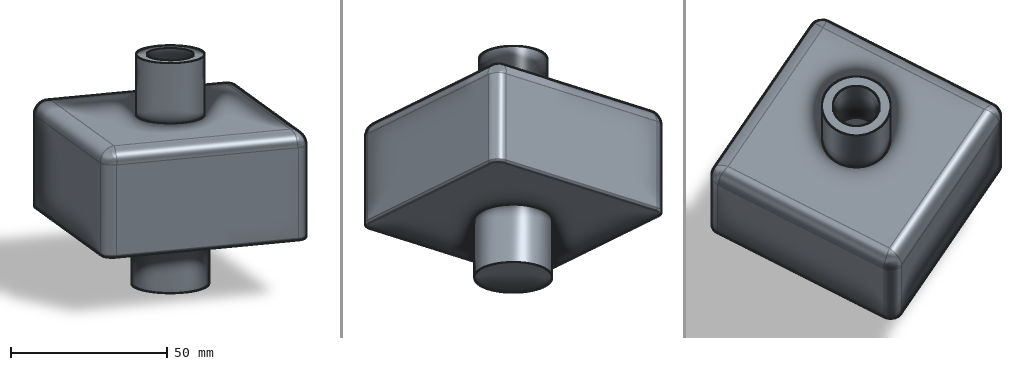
import cadquery as cq

block_width = 70.0
block_height = 36.0
corner_radius = 4.0
top_edge_radius = 5.0
bottom_edge_radius = 1.0

spigot_diameter = 25.0
spigot_length = 20.0

tube_outer_diameter = 22.0
tube_bore_diameter = 15.0
tube_length = 20.0


def make_block():
    """Square block, base on Z = 0, with rounded sides, top and bottom rim."""
    block = cq.Workplane("XY").box(block_width, block_width, block_height, centered=(True, True, False))
    block = block.faces(">Z").edges().fillet(top_edge_radius)
    block = block.edges("|Z").fillet(corner_radius)
    return block.faces("<Z").edges().fillet(bottom_edge_radius)


def make_housing():
    """Block with the solid round spigot on its underside."""
    spigot = cq.Workplane("XY").circle(spigot_diameter / 2).extrude(-spigot_length)
    return make_block().union(spigot)


def make_tube():
    """Open tube seated on the top face of the block."""
    return (
        cq.Workplane("XY", origin=(0, 0, block_height))
        .circle(tube_outer_diameter / 2)
        .circle(tube_bore_diameter / 2)
        .extrude(tube_length)
    )


housing = make_housing()
tube = make_tube()

result = cq.Compound.makeCompound([housing.val(), tube.val()])